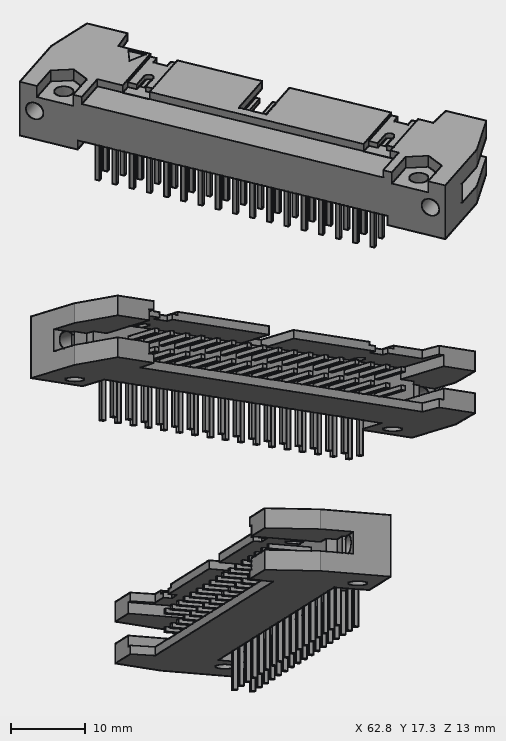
import cadquery as cq
import math

length = 62.8
height = 8.5
depth = 17.3
half_length = length / 2
mid_z = height / 2

wall_front_y = 13.8
floor_y = 7.4
wall_thickness = 1.2
cavity_length = 48.5
cavity_height = height - 2 * wall_thickness
cavity_top_z = height - wall_thickness

ear_taper_y = 10.05
ear_tip_outer_x = 29.45
ear_tip_inner_x = 23.5
ear_root_inner_x = 23.25

latch_slot_height = 3.0
latch_slot_steps = [(28.45, 5.35), (26.4, 5.85), (cavity_length / 2, floor_y)]
latch_hole_x = 29.2
latch_hole_z = 4.45

hole_diameter = 2.6
mount_x = 26.2
mount_y = 2.8
nut_width = 5.35
nut_apex_y = 5.9
nut_depth = 1.75

step_length = 44.45
step_y = 4.95
step_depth = 1.1
relief_length = 45.7
relief_height = 1.45

key_width = 4.0
key_end_y = 6.35

recess_width = 3.95
recess_depth = 0.45
recess_centers = [-16.5, 19.0]
recess_trench_y = 6.6
recess_slot_width = 1.3
recess_slot_end_y = 9.6
recess_notch_width = 2.1
recess_notch_depth = 1.2

pin_columns = 17
pin_pitch = 2.54
pin_size = 0.6
pin_drop = 4.5
pin_tip_y = 13.5
pin_row_y = 1.0
pin_embed = 0.6

marker_width = 2.65
marker_base_y = 13.5
marker_apex_y = 11.0
marker_depth = 0.2


def block(x_range, y_range, z_range):
    """Axis-aligned box between pairs of limits."""
    (x0, x1), (y0, y1), (z0, z1) = x_range, y_range, z_range
    return cq.Workplane("XY").box(x1 - x0, y1 - y0, z1 - z0, centered=False).translate((x0, y0, z0))


def centered_block(center_x, width, y_range, z_range):
    """Box with its X extent centred on center_x."""
    return block((center_x - width / 2, center_x + width / 2), y_range, z_range)


def make_body():
    """Plan outline with two latch ears, extruded to the body height."""
    right_side = [
        (half_length, 0),
        (half_length, ear_taper_y),
        (ear_tip_outer_x, depth),
        (ear_tip_inner_x, depth),
        (ear_root_inner_x, wall_front_y),
    ]
    left_side = [(-x, y) for x, y in reversed(right_side)]
    return cq.Workplane("XY").polyline(right_side + left_side).close().extrude(height)


def make_cavity():
    """Mating cavity, with the polarising keyway through its top wall."""
    cavity = centered_block(
        0, cavity_length, (floor_y, depth), (mid_z - cavity_height / 2, mid_z + cavity_height / 2)
    )
    keyway = centered_block(0, key_width, (key_end_y, depth), (cavity_top_z, height))
    return cavity.union(keyway)


def make_latch_slot(side):
    """Slot that splits one ear, its floor stepping down towards the outer end."""
    z_range = (mid_z - latch_slot_height / 2, mid_z + latch_slot_height / 2)
    slot = cq.Workplane("XY")
    for inner_x, bottom_y in latch_slot_steps:
        x_range = sorted((side * inner_x, side * half_length))
        slot = slot.add(block(x_range, (bottom_y, depth), z_range))
    return slot.combine()


def make_latch_hole(side):
    """Hole from the rear face into the latch slot."""
    slot_floor_y = latch_slot_steps[0][1]
    return (
        cq.Workplane("XZ")
        .center(side * latch_hole_x, latch_hole_z)
        .circle(hole_diameter / 2)
        .extrude(-slot_floor_y)
    )


def make_mount(side):
    """Vertical screw hole with an open-backed hexagonal nut pocket on top."""
    x = side * mount_x
    shoulder_y = nut_apex_y - nut_width / 2 * math.tan(math.radians(30))
    pocket = (
        cq.Workplane("XY", origin=(x, 0, height - nut_depth))
        .moveTo(-nut_width / 2, 0)
        .lineTo(nut_width / 2, 0)
        .lineTo(nut_width / 2, shoulder_y)
        .lineTo(0, nut_apex_y)
        .lineTo(-nut_width / 2, shoulder_y)
        .close()
        .extrude(nut_depth)
    )
    hole = cq.Workplane("XY").center(x, mount_y).circle(hole_diameter / 2).extrude(height)
    return pocket.union(hole)


def make_recess(x):
    """Shallow top recess with a rear trench, a round-ended slot and a front notch."""
    recess = centered_block(x, recess_width, (step_y, wall_front_y), (height - recess_depth, height))
    trench = centered_block(
        x, recess_width, (step_y, recess_trench_y), (height - wall_thickness, height)
    )
    radius = recess_slot_width / 2
    round_y = recess_slot_end_y - radius
    slot = (
        cq.Workplane("XY", origin=(x, 0, cavity_top_z))
        .moveTo(-radius, recess_trench_y)
        .lineTo(radius, recess_trench_y)
        .lineTo(radius, round_y)
        .threePointArc((0, recess_slot_end_y), (-radius, round_y))
        .close()
        .extrude(wall_thickness)
    )
    notch = centered_block(
        x, recess_notch_width, (wall_front_y - recess_notch_depth, wall_front_y), (cavity_top_z, height)
    )
    return recess.union(trench).union(slot).union(notch)


def make_marker():
    """Engraved triangle above the first pin."""
    x = -(pin_columns - 1) / 2 * pin_pitch
    return (
        cq.Workplane("XY", origin=(x, 0, height - marker_depth))
        .polyline([(-marker_width / 2, marker_base_y), (marker_width / 2, marker_base_y), (0, marker_apex_y)])
        .close()
        .extrude(marker_depth)
    )


def make_pins():
    """Two rows of contacts in the cavity and two rows of tails below the body."""
    contact_length = pin_tip_y - floor_y + pin_embed
    tail_length = pin_drop + relief_height + pin_embed
    contacts = (
        cq.Workplane("XZ", origin=(0, pin_tip_y, mid_z))
        .rarray(pin_pitch, pin_pitch, pin_columns, 2)
        .rect(pin_size, pin_size)
        .extrude(contact_length)
    )
    tails = (
        cq.Workplane("XY", origin=(0, pin_row_y + pin_pitch / 2, -pin_drop))
        .rarray(pin_pitch, pin_pitch, pin_columns, 2)
        .rect(pin_size, pin_size)
        .extrude(tail_length)
    )
    return contacts, tails


result = make_body().cut(make_cavity())

rear_step = centered_block(0, step_length, (0, step_y), (height - step_depth, height))
pin_relief = centered_block(0, relief_length, (0, step_y), (0, relief_height))
result = result.cut(rear_step).cut(pin_relief)

for side in (-1, 1):
    result = result.cut(make_latch_slot(side)).cut(make_latch_hole(side)).cut(make_mount(side))

for recess_x in recess_centers:
    result = result.cut(make_recess(recess_x))

result = result.cut(make_marker())

for pins in make_pins():
    result = result.union(pins)